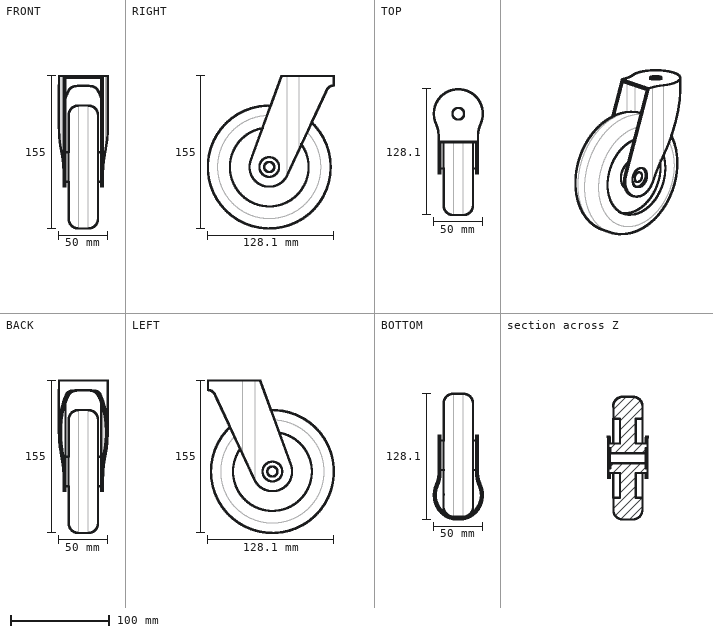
import cadquery as cq
import math


wheel_diameter = 125.0
wheel_width = 30.0
tread_radius = 10.0
recess_diameter = 80.0
recess_depth = 7.0
hub_diameter = 30.0
bore_diameter = 10.0

total_height = 155
wall = 2.0
fork_width = 40.0
crown_radius = 25.0
neck_radius = 30.0
crown_front = 28.2
axle_offset = 40.6
leg_end_radius = 20.0
leg_hole_diameter = 20.0
swivel_hole_diameter = 12.0
skirt_height = 10.0
skirt_radius = 7.0
back_edge_lean = math.radians(25)

axle_y = -axle_offset
top_z = total_height - wheel_diameter / 2
fork_front_y = axle_y - leg_end_radius
hub_width = fork_width - 2 * wall


def axle_cylinder(diameter, length):
    """Cylinder on the axle, centred across the fork."""
    return (
        cq.Workplane("YZ", origin=(-length / 2, axle_y, 0))
        .circle(diameter / 2)
        .extrude(length)
    )


def make_wheel():
    """Wheel with a rounded tread, a recess in each face and a hub that reaches the fork."""
    tyre = axle_cylinder(wheel_diameter, wheel_width).edges().fillet(tread_radius)
    web = axle_cylinder(recess_diameter, wheel_width - 2 * recess_depth)
    hub = axle_cylinder(hub_diameter, hub_width)
    rim = tyre.cut(axle_cylinder(recess_diameter, wheel_width))
    return rim.union(web).union(hub)


def fork_column(inset, front_y, height_above_axle):
    """Upright column with the round-backed, necked fork outline, moved inward by inset."""
    half_width = fork_width / 2 - inset
    back_radius = crown_radius - inset
    hollow_radius = neck_radius + inset

    hollow_x = half_width + hollow_radius
    centre_distance = back_radius + hollow_radius
    hollow_y = -math.sqrt(centre_distance**2 - hollow_x**2)
    joint_x = hollow_x * back_radius / centre_distance
    joint_y = hollow_y * back_radius / centre_distance
    joint_angle = math.atan2(joint_y, joint_x)
    mid_angle = math.pi + joint_angle / 2
    mid_x = hollow_x + hollow_radius * math.cos(mid_angle)
    mid_y = hollow_y + hollow_radius * math.sin(mid_angle)

    return (
        cq.Workplane("XY", origin=(0, 0, -leg_end_radius))
        .moveTo(half_width, front_y)
        .lineTo(half_width, hollow_y)
        .threePointArc((mid_x, mid_y), (joint_x, joint_y))
        .threePointArc((0, back_radius), (-joint_x, joint_y))
        .threePointArc((-mid_x, mid_y), (-half_width, hollow_y))
        .lineTo(-half_width, front_y)
        .close()
        .extrude(height_above_axle + leg_end_radius)
    )


def side_outline():
    """Side shape of the fork: sloping edges tangent to the round leg end, and a short back skirt."""
    crown_front_from_axle = axle_offset - crown_front
    front_edge_lean = (
        math.atan2(crown_front_from_axle, top_z)
        + math.asin(leg_end_radius / math.hypot(crown_front_from_axle, top_z))
    )
    front_tangent_y = axle_y - leg_end_radius * math.cos(front_edge_lean)
    front_tangent_z = leg_end_radius * math.sin(front_edge_lean)
    back_tangent_y = axle_y + leg_end_radius * math.cos(back_edge_lean)
    back_tangent_z = -leg_end_radius * math.sin(back_edge_lean)

    skirt_z = top_z - skirt_height
    corner_y = back_tangent_y + (skirt_z - back_tangent_z) * math.tan(back_edge_lean)

    blank = (
        cq.Workplane("YZ")
        .moveTo(-crown_front, top_z)
        .lineTo(front_tangent_y, front_tangent_z)
        .threePointArc((axle_y, -leg_end_radius), (back_tangent_y, back_tangent_z))
        .lineTo(corner_y, skirt_z)
        .lineTo(crown_radius, skirt_z)
        .lineTo(crown_radius, top_z)
        .close()
        .extrude(crown_radius, both=True)
    )
    skirt_corner = cq.selectors.NearestToPointSelector((0, corner_y, skirt_z))
    return blank.edges(skirt_corner).fillet(skirt_radius)


def make_fork():
    """Thin-walled fork, open at the front and below, with swivel and axle holes."""
    shell = fork_column(0, fork_front_y, top_z).cut(fork_column(wall, fork_front_y, top_z - wall))
    swivel_hole = (
        cq.Workplane("XY", origin=(0, 0, top_z - wall))
        .circle(swivel_hole_diameter / 2)
        .extrude(wall)
    )
    return (
        shell.intersect(side_outline())
        .cut(swivel_hole)
        .cut(axle_cylinder(leg_hole_diameter, fork_width))
    )


result = make_fork().union(make_wheel()).cut(axle_cylinder(bore_diameter, fork_width))